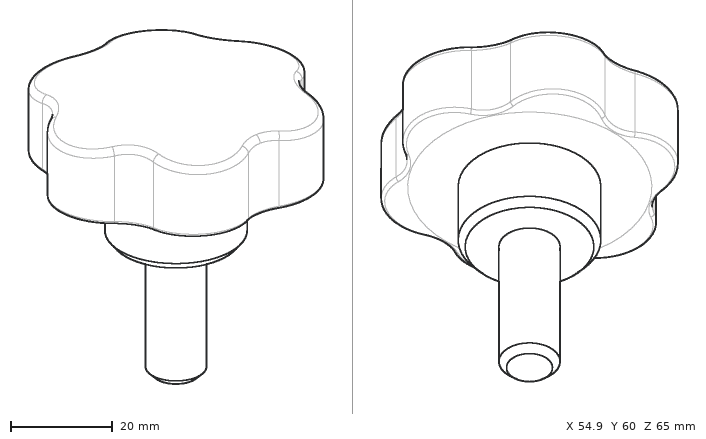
import cadquery as cq
import math

total_height = 65.0
hub_bottom = 30.0
head_bottom = 45.0

stud_diameter = 12.0
stud_chamfer = 1.5
hub_diameter = 28.0
hub_chamfer_height = 1.7
hub_chamfer_width = 1.35

lobe_count = 6
head_diameter = 60.0
lobe_radius = 11.0
dome_radius = 109.85
underside_flat_radius = 24.0
underside_slope = 0.14
top_fillet = 1.5
bottom_fillet = 0.8

head_radius = head_diameter / 2
lobe_center_radius = head_radius - lobe_radius
half_step = math.pi / lobe_count
valley_radius = lobe_center_radius - lobe_radius
valley_center_radius = 2 * lobe_center_radius * math.cos(half_step)
valley_floor_radius = valley_center_radius - valley_radius


def polar(radius, angle):
    return (radius * math.cos(angle), radius * math.sin(angle))


def tangent_point(lobe_angle, side):
    """Point where a lobe meets the valley on its given side (-1 or +1)."""
    center_x, center_y = polar(lobe_center_radius, lobe_angle)
    offset_x, offset_y = polar(lobe_radius, lobe_angle + side * 2 * half_step)
    return (center_x + offset_x, center_y + offset_y)


def lobed_prism():
    first_angle = math.pi / 2
    outline = cq.Workplane("XY").workplane(offset=head_bottom).moveTo(*tangent_point(first_angle, -1))
    for index in range(lobe_count):
        lobe_angle = first_angle + 2 * half_step * index
        next_angle = lobe_angle + 2 * half_step
        outline = outline.threePointArc(polar(head_radius, lobe_angle), tangent_point(lobe_angle, 1))
        valley_floor = polar(valley_floor_radius, lobe_angle + half_step)
        outline = outline.threePointArc(valley_floor, tangent_point(next_angle, -1))
    return outline.close().extrude(total_height - head_bottom)


def head_envelope():
    """Turned body with a spherical top and a flat underside that rises towards its rim."""
    outer_radius = head_radius + lobe_radius

    def dome_height(radius):
        return total_height - dome_radius + math.sqrt(dome_radius**2 - radius**2)

    rim_bottom = head_bottom + underside_slope * (outer_radius - underside_flat_radius)
    return (
        cq.Workplane("XZ")
        .moveTo(0, head_bottom)
        .lineTo(underside_flat_radius, head_bottom)
        .lineTo(outer_radius, rim_bottom)
        .lineTo(outer_radius, dome_height(outer_radius))
        .threePointArc((outer_radius / 2, dome_height(outer_radius / 2)), (0, total_height))
        .close()
        .revolve(360, (0, 0, 0), (0, 1, 0))
    )


def is_on_rim(edge):
    """True for edges on the side wall, leaving out seams and circles nearer the axis."""
    middle = edge.positionAt(0.5)
    return math.hypot(middle.x, middle.y) > (underside_flat_radius + valley_floor_radius) / 2


def make_head():
    head = lobed_prism().intersect(head_envelope())
    middle_height = (head_bottom + total_height) / 2
    top_rim = head.edges("not |Z").filter(is_on_rim).filter(
        lambda edge: edge.positionAt(0.5).z > middle_height
    )
    head = top_rim.fillet(top_fillet)
    bottom_rim = head.edges("not |Z").filter(is_on_rim).filter(
        lambda edge: edge.positionAt(0.5).z < middle_height
    )
    return bottom_rim.fillet(bottom_fillet)


def make_hub_and_stud():
    hub_radius = hub_diameter / 2
    stud_radius = stud_diameter / 2
    return (
        cq.Workplane("XZ")
        .moveTo(0, 0)
        .lineTo(stud_radius - stud_chamfer, 0)
        .lineTo(stud_radius, stud_chamfer)
        .lineTo(stud_radius, hub_bottom)
        .lineTo(hub_radius - hub_chamfer_width, hub_bottom)
        .lineTo(hub_radius, hub_bottom + hub_chamfer_height)
        .lineTo(hub_radius, head_bottom)
        .lineTo(0, head_bottom)
        .close()
        .revolve(360, (0, 0, 0), (0, 1, 0))
    )


result = make_head().union(make_hub_and_stud())